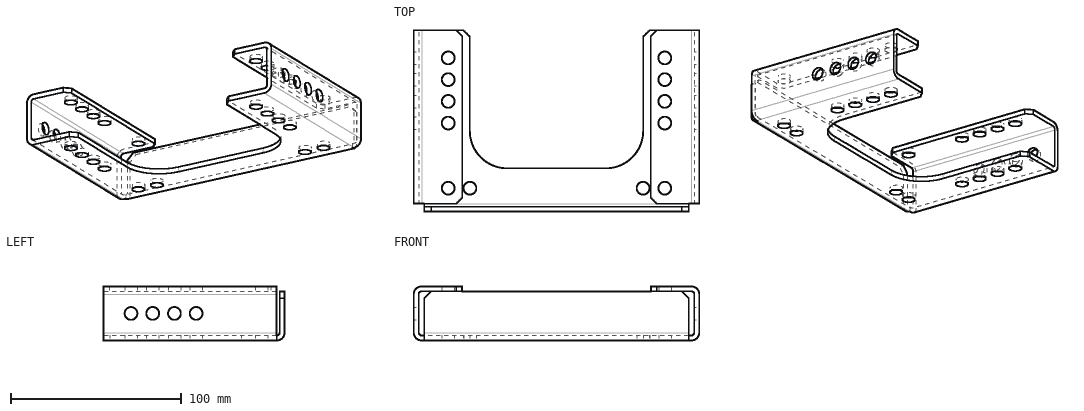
import cadquery as cq


sheet = 3.0
bend_inner = 1.7
bend_outer = bend_inner + sheet

width = 167.5
height = 31.8
channel_length = 101.7
side_x = width / 2
lip_front_y = -bend_outer

flange_width = 28.5
flange_chamfer = 3.5

arm_width = 33.0
arm_chamfer = 3.9
opening_depth = 81.0
opening_radius = 21.8

lip_side_gap = 6.2
lip_width = width - 2 * lip_side_gap
lip_height = height - sheet
lip_chamfer = 4.0

hole_diameter = 7.4
hole_pitch = 12.7
row_count = 4
front_hole_steps = 6
row_back_margin = 16.3
row_side_margin = 20.3
row_back_y = channel_length - row_back_margin
row_ys = [row_back_y - i * hole_pitch for i in range(row_count)]
front_hole_y = row_back_y - front_hole_steps * hole_pitch
row_x = side_x - row_side_margin
base_hole_x = row_x - hole_pitch


def folded_section():
    """C-channels and base as one hollow tube with its top slit open."""
    tube = (
        cq.Workplane("XY")
        .box(width, channel_length, height, centered=(True, False, False))
        .edges("|Y")
        .fillet(bend_outer)
    )
    cavity = (
        cq.Workplane("XY")
        .workplane(offset=sheet)
        .box(width - 2 * sheet, channel_length, height - 2 * sheet, centered=(True, False, False))
        .edges("|Y")
        .fillet(bend_inner)
    )
    return tube.cut(cavity)


def top_gap():
    """Gap between the top flanges, flared where their corners are chamfered."""
    gap_x = side_x - flange_width
    flare_x = gap_x + flange_chamfer
    back_y = channel_length
    return (
        cq.Workplane("XY")
        .workplane(offset=height / 2)
        .polyline([
            (-flare_x, 0),
            (flare_x, 0),
            (gap_x, flange_chamfer),
            (gap_x, back_y - flange_chamfer),
            (flare_x, back_y),
            (-flare_x, back_y),
            (-gap_x, back_y - flange_chamfer),
            (-gap_x, flange_chamfer),
        ])
        .close()
        .extrude(height)
    )


def base_opening():
    """Round-cornered opening between the base arms, flared at the back."""
    opening_x = side_x - arm_width
    flare_x = opening_x + arm_chamfer
    back_y = channel_length
    front_y = back_y - opening_depth
    return (
        cq.Workplane("XY")
        .polyline([
            (-opening_x, front_y),
            (opening_x, front_y),
            (opening_x, back_y - arm_chamfer),
            (flare_x, back_y),
            (-flare_x, back_y),
            (-opening_x, back_y - arm_chamfer),
        ])
        .close()
        .extrude(height / 2)
        .edges("|Z and <Y")
        .fillet(opening_radius)
    )


def front_lip():
    """Lip folded up from the front edge of the base."""
    lip_back_y = lip_front_y + sheet
    lip = (
        cq.Workplane("YZ")
        .workplane(offset=-lip_width / 2)
        .moveTo(0, 0)
        .radiusArc((lip_front_y, bend_outer), bend_outer)
        .lineTo(lip_front_y, lip_height)
        .lineTo(lip_back_y, lip_height)
        .lineTo(lip_back_y, bend_outer)
        .radiusArc((0, sheet), -bend_inner)
        .close()
        .extrude(lip_width)
    )
    return lip.edges("|Y and >Z").chamfer(lip_chamfer)


def vertical_holes(points, depth):
    return cq.Workplane("XY").pushPoints(points).circle(hole_diameter / 2).extrude(depth)


def side_holes():
    """Row of holes through both side walls at mid height."""
    return (
        cq.Workplane("YZ")
        .workplane(offset=-side_x)
        .pushPoints([(y, height / 2) for y in row_ys])
        .circle(hole_diameter / 2)
        .extrude(width)
    )


flange_points = [(x, y) for x in (-row_x, row_x) for y in row_ys + [front_hole_y]]
base_points = [(x, front_hole_y) for x in (-base_hole_x, base_hole_x)]

result = (
    folded_section()
    .cut(top_gap())
    .cut(base_opening())
    .union(front_lip())
    .cut(vertical_holes(flange_points, height))
    .cut(vertical_holes(base_points, height / 2))
    .cut(side_holes())
)